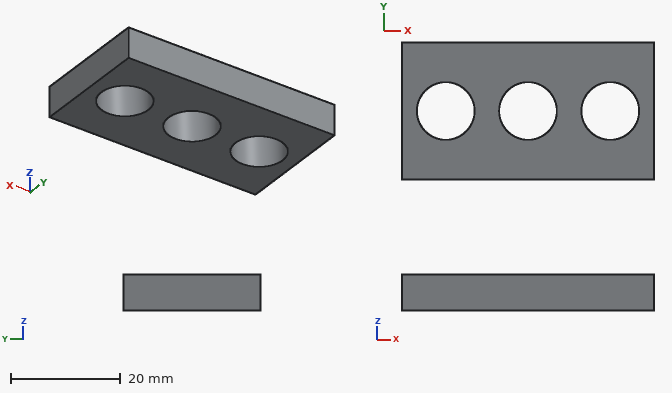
import cadquery as cq

length = 46.0
width = 25.0
thickness = 6.6

hole_count = 3
hole_diameter = 10.5
hole_pitch = 15.0

plate = cq.Workplane("XY").box(length, width, thickness)

result = (
    plate.faces(">Z")
    .workplane()
    .rarray(hole_pitch, 0.45, hole_count, 1)
    .hole(hole_diameter)
)